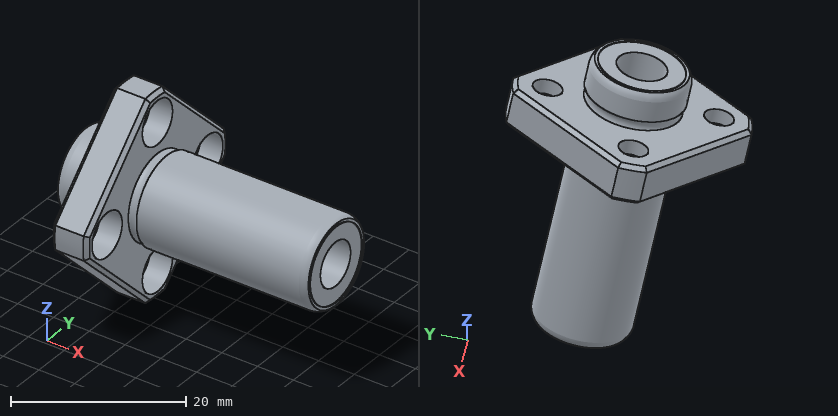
import cadquery as cq
import math

LENGTH = 35.0
SLEEVE_RADIUS = 12.0 / 2
BORE_DIAMETER = 6.0

END_ROUND_LENGTH = 1.0
END_ROUND_DROP = 0.45
END_ROUND_RADIUS = 1.75
RECESS_DIAMETER = 10.3
RECESS_DEPTH = 0.1

FLANGE_START = 5.0
FLANGE_THICKNESS = 5.0
FLANGE_END = FLANGE_START + FLANGE_THICKNESS
FLANGE_SIDE = 22.0
FLANGE_DIAMETER = 28.0
FLANGE_CHAMFER = 0.52

GROOVE_WIDTH = 1.3
GROOVE_DEPTH = 0.3
GROOVE_RADIUS = 1.2
GROOVE_LOW_POINT = math.sqrt(GROOVE_RADIUS**2 - (GROOVE_RADIUS - GROOVE_DEPTH)**2)

HOLE_CIRCLE_DIAMETER = 20.0
HOLE_COUNT = 4
HOLE_DIAMETER = 3.5
COUNTERBORE_DIAMETER = 6.0
COUNTERBORE_DEPTH = 3.1


def cylinder(start, length, diameter):
    """Cylinder about the X axis."""
    return cq.Workplane("YZ", origin=(start, 0, 0)).circle(diameter / 2).extrude(length)


def arc_rise(radius, run):
    """Distance between an arc and its tangent line after a run along that line."""
    return radius - math.sqrt(radius**2 - run**2)


def make_sleeve():
    """Solid sleeve with rounded ends and a relief groove on each side of the flange."""
    end_radius = SLEEVE_RADIUS - END_ROUND_DROP
    groove_floor = SLEEVE_RADIUS - GROOVE_DEPTH
    groove_root = groove_floor + arc_rise(GROOVE_RADIUS, GROOVE_WIDTH - GROOVE_LOW_POINT)
    pilot_groove_start = FLANGE_START - GROOVE_WIDTH
    far_groove_end = FLANGE_END + GROOVE_WIDTH
    profile = (
        cq.Workplane("XY")
        .lineTo(0, end_radius)
        .radiusArc((END_ROUND_LENGTH, SLEEVE_RADIUS), END_ROUND_RADIUS)
        .lineTo(pilot_groove_start, SLEEVE_RADIUS)
        .threePointArc((pilot_groove_start + GROOVE_LOW_POINT, groove_floor), (FLANGE_START, groove_root))
        .lineTo(FLANGE_END, groove_root)
        .threePointArc((far_groove_end - GROOVE_LOW_POINT, groove_floor), (far_groove_end, SLEEVE_RADIUS))
        .lineTo(LENGTH - END_ROUND_LENGTH, SLEEVE_RADIUS)
        .radiusArc((LENGTH, end_radius), END_ROUND_RADIUS)
        .lineTo(LENGTH, 0)
        .close()
    )
    return profile.revolve(360, (0, 0, 0), (1, 0, 0))


def make_flange():
    """Square plate on its corner, with round corners and chamfered face edges."""
    square = (
        cq.Workplane("YZ", origin=(FLANGE_START, 0, 0))
        .transformed(rotate=(0, 0, 45))
        .rect(FLANGE_SIDE, FLANGE_SIDE)
        .extrude(FLANGE_THICKNESS)
    )
    plate = square.intersect(cylinder(FLANGE_START, FLANGE_THICKNESS, FLANGE_DIAMETER))
    return plate.faces("<X or >X").chamfer(FLANGE_CHAMFER)


def cut_mounting_holes(plate):
    """Counterbored through holes, sunk from the sleeve side of the plate."""
    return (
        plate.copyWorkplane(cq.Workplane("YZ", origin=(FLANGE_END, 0, 0)))
        .polarArray(HOLE_CIRCLE_DIAMETER / 2, 0, 360, HOLE_COUNT)
        .cboreHole(HOLE_DIAMETER, COUNTERBORE_DIAMETER, COUNTERBORE_DEPTH, FLANGE_THICKNESS)
    )


result = make_sleeve().union(cut_mounting_holes(make_flange()))
result = result.cut(cylinder(0, LENGTH, BORE_DIAMETER))
for recess_start in (0, LENGTH - RECESS_DEPTH):
    result = result.cut(cylinder(recess_start, RECESS_DEPTH, RECESS_DIAMETER))